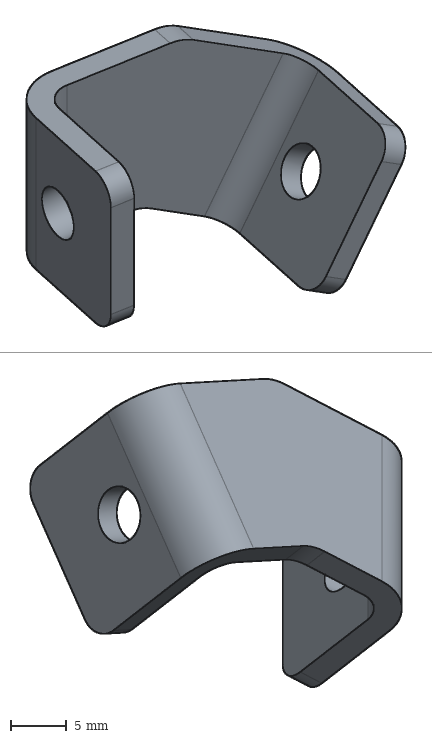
import cadquery as cq
import math

thickness = 2.5
overall_length = 32.65
flange_width = 17.0
height = 17.0
straight_arm = 17.5
arm_angle = 30.0
bend_radius = 5.0
inner_radius = bend_radius - thickness
corner_radius = 2.5
web_radius = 5.0
hole_diameter = 5.1

slope = math.radians(arm_angle)
sloped_arm = (overall_length - straight_arm) / math.cos(slope)
rear_tip = (
    0,
    overall_length,
    -sloped_arm * math.sin(slope),
)
lower_corner_y = straight_arm - height * math.tan(slope / 2)


def arm_point(along, down):
    """Y, Z of a point on the rear arm, measured from the upper web corner."""
    y = straight_arm + along * math.cos(slope) - down * math.sin(slope)
    z = -along * math.sin(slope) - down * math.cos(slope)
    return y, z


def make_web():
    """Flat bent plate between the two flange bends."""
    web_end = sloped_arm - bend_radius
    return (
        cq.Workplane("YZ")
        .polyline([
            (bend_radius, 0),
            (straight_arm, 0),
            arm_point(web_end, 0),
            arm_point(web_end, height),
            (lower_corner_y, -height),
            (bend_radius, -height),
        ])
        .close()
        .extrude(thickness)
        .edges(cq.selectors.BoxSelector(
            (-0.33, lower_corner_y - 0.33, -height - 0.33),
            (thickness + 0.33, straight_arm + 0.33, 0.33),
        ))
        .edges("|X")
        .fillet(web_radius)
    )


def make_flange():
    """Front flange with its bend, rounded free corners and hole."""
    flange = (
        cq.Workplane("XY")
        .moveTo(0, bend_radius)
        .radiusArc((bend_radius, 0), -bend_radius)
        .lineTo(flange_width, 0)
        .lineTo(flange_width, thickness)
        .lineTo(bend_radius, thickness)
        .radiusArc((thickness, bend_radius), inner_radius)
        .close()
        .extrude(-height)
        .edges("|Y and >X")
        .fillet(corner_radius)
    )
    hole = (
        cq.Workplane("XZ")
        .center(flange_width / 2, -height / 2)
        .circle(hole_diameter / 2)
        .extrude(-thickness)
    )
    return flange.cut(hole)


front_flange = make_flange()
rear_flange = (
    front_flange.mirror("XZ")
    .rotate((0, 0, 0), (1, 0, 0), -arm_angle)
    .translate(rear_tip)
)

result = make_web().union(front_flange).union(rear_flange)